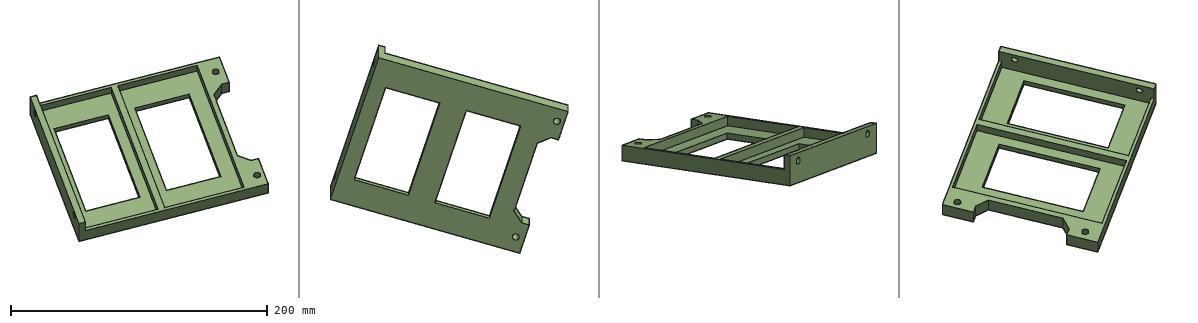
import cadquery as cq

width = 127.0
length = 155.0
tray_height = 12.5
floor_thickness = 5.0
side_wall = 2.5

plate_height = 24.2
plate_thickness = 5.3

pockets = [(plate_thickness, 65.5), (71.0, 135.9)]
windows = [(12.9, 57.2), (78.9, 123.3)]
window_left = 21.7
window_right = 104.1

ear_width = 25.4
notch_front = 140.0
notch_slope_end = 148.7
notch_slope_run = 7.6

hole_diameter = 5.3
ear_holes = [(12.5, 147.8), (116.5, 149.0)]
plate_holes = [(12.1, 17.8), (114.0, 18.3)]


def block(left, right, front, back, bottom, top):
    """Rectangular block between the given faces."""
    size = (right - left, back - front, top - bottom)
    return cq.Workplane("XY").box(*size, centered=False).translate((left, front, bottom))


def rear_notch():
    """Full-height cutter with sloping lower corners, open at the rear."""
    right_ear = width - ear_width
    outline = [
        (ear_width, length),
        (ear_width, notch_slope_end),
        (ear_width + notch_slope_run, notch_front),
        (right_ear - notch_slope_run, notch_front),
        (right_ear, notch_slope_end),
        (right_ear, length),
    ]
    return cq.Workplane("XY").polyline(outline).close().extrude(tray_height)


result = block(0, width, 0, length, 0, tray_height)
result = result.union(block(0, width, 0, plate_thickness, 0, plate_height))

for front, back in pockets:
    result = result.cut(block(side_wall, width - side_wall, front, back, floor_thickness, tray_height))
for front, back in windows:
    result = result.cut(block(window_left, window_right, front, back, 0, floor_thickness))

result = result.cut(rear_notch())

ear_drills = cq.Workplane("XY").pushPoints(ear_holes).circle(hole_diameter / 2).extrude(tray_height)
result = result.cut(ear_drills)

plate_drills = cq.Workplane("XZ").pushPoints(plate_holes).circle(hole_diameter / 2).extrude(-plate_thickness)
result = result.cut(plate_drills)